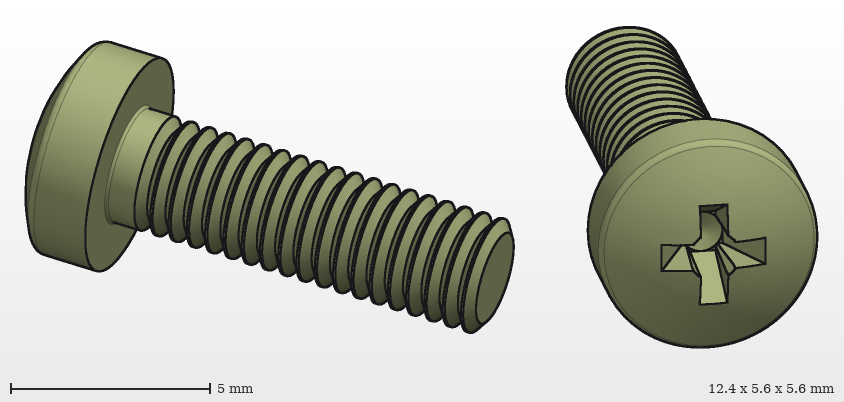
import cadquery as cq
import math


head_diameter = 5.6
head_height = 2.4
dome_radius = 5.0
head_edge_fillet = 0.25

thread_diameter = 3.0
pitch = 0.5
shank_length = 10.0
seat_fillet = 0.075
thread_start = 1.0
thread_depth_ratio = 0.6134
thread_depth = thread_depth_ratio * pitch
crest_width = pitch / 8

wing_width = 0.7
wing_reach = 1.33
core_radius = 0.53
core_mouth_radius = 0.64
recess_depth = 1.8
tip_angle = 143.0

head_radius = head_diameter / 2
thread_radius = thread_diameter / 2
root_radius = thread_radius - thread_depth
flank_width = (pitch - crest_width) / 2
ridge_count = round((shank_length - thread_start) / pitch)


def dome_drop(radius):
    """Axial distance from the dome apex to the dome surface at a given radius."""
    return dome_radius - math.sqrt(dome_radius**2 - radius**2)


def make_head():
    """Domed disc with a rounded rim where the dome meets the cylindrical side."""
    apex_x = -head_height
    rim_x = apex_x + dome_drop(head_radius)
    mid_radius = head_radius / 2
    profile = (
        cq.Workplane("XY")
        .moveTo(apex_x, 0)
        .threePointArc((apex_x + dome_drop(mid_radius), mid_radius), (rim_x, head_radius))
        .lineTo(0, head_radius)
        .lineTo(0, 0)
        .close()
    )
    head = profile.revolve(360, (0, 0, 0), (1, 0, 0))
    rim = head.faces("%CYLINDER").edges("%CIRCLE").edges("<X")
    return rim.fillet(head_edge_fillet)


def make_shank():
    """Plain neck, flared by a small fillet at the seat, then ring-shaped thread ridges."""
    profile = (
        cq.Workplane("XY")
        .moveTo(0, 0)
        .lineTo(0, thread_radius + seat_fillet)
        .radiusArc((seat_fillet, thread_radius), -seat_fillet)
        .lineTo(thread_start - flank_width, thread_radius)
        .lineTo(thread_start, root_radius)
    )
    for ridge in range(ridge_count):
        ridge_x = thread_start + ridge * pitch
        profile = (
            profile.lineTo(ridge_x + flank_width, thread_radius)
            .lineTo(ridge_x + flank_width + crest_width, thread_radius)
            .lineTo(ridge_x + pitch, root_radius)
        )
    return profile.lineTo(shank_length, 0).close().revolve(360, (0, 0, 0), (1, 0, 0))


def make_wing_pair():
    """Prism across the head whose two ends slope inward toward the recess floor."""
    mouth_x = -head_height
    wing_end_x = mouth_x + dome_drop(wing_reach)
    floor_x = mouth_x + recess_depth
    return (
        cq.Workplane("XY")
        .polyline(
            [
                (mouth_x, -wing_reach),
                (wing_end_x, -wing_reach),
                (floor_x, -core_radius),
                (floor_x, core_radius),
                (wing_end_x, wing_reach),
                (mouth_x, wing_reach),
            ]
        )
        .close()
        .extrude(wing_width / 2, both=True)
    )


def make_core():
    """Tapered square core turned 45 degrees to bevel the corners between wings.

    Its own corners are cut off so that they stay inside the wings.
    """
    core = (
        cq.Workplane("YZ", origin=(-head_height, 0, 0))
        .rect(2 * core_mouth_radius, 2 * core_mouth_radius)
        .workplane(offset=recess_depth)
        .rect(2 * core_radius, 2 * core_radius)
        .loft(ruled=True)
    )
    envelope = cq.Workplane("YZ", origin=(-head_height, 0, 0)).rect(2 * core_radius, 2 * core_radius)
    return core.rotate((0, 0, 0), (1, 0, 0), 45).intersect(envelope.extrude(recess_depth))


def make_tip():
    """Conical bottom of the recess."""
    floor_x = -head_height + recess_depth
    tip_depth = core_radius / math.tan(math.radians(tip_angle / 2))
    return cq.Workplane("XY").add(
        cq.Solid.makeCone(core_radius, 0, tip_depth, cq.Vector(floor_x, 0, 0), cq.Vector(1, 0, 0))
    )


def make_recess():
    """Cross-shaped driver recess: two crossing wing pairs, the core and the conical tip."""
    wings = make_wing_pair()
    crossing_wings = wings.rotate((0, 0, 0), (1, 0, 0), 90)
    return wings.union(crossing_wings).union(make_core()).union(make_tip())


result = make_head().union(make_shank()).cut(make_recess())